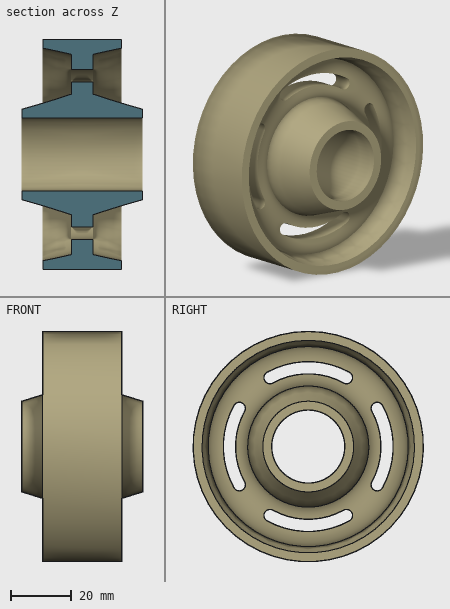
import cadquery as cq
import math

wheel_radius = 38.0
rim_width = 26.15
hub_length = 40.0
web_thickness = 7.2

rim_mouth_radius = 35.0
rim_root_radius = 33.0

hub_tip_radius = 15.0
hub_root_radius = 20.0
bore_radius = 12.0

slot_count = 4
slot_inner_radius = 24.0
slot_outer_radius = 28.0
slot_half_angle = 29.0

half_rim = rim_width / 2
half_hub = hub_length / 2
half_web = web_thickness / 2


def wheel_body():
    """Revolve the half section; its points are (axial position, radius)."""
    section = [
        (-half_hub, bore_radius),
        (-half_hub, hub_tip_radius),
        (-half_web, hub_root_radius),
        (-half_web, rim_root_radius),
        (-half_rim, rim_mouth_radius),
        (-half_rim, wheel_radius),
        (half_rim, wheel_radius),
        (half_rim, rim_mouth_radius),
        (half_web, rim_root_radius),
        (half_web, hub_root_radius),
        (half_hub, hub_tip_radius),
        (half_hub, bore_radius),
    ]
    return cq.Workplane("XZ").polyline(section).close().revolve(360, (0, 0), (1, 0))


def polar_point(radius, degrees):
    """Point in the web plane, with the angle measured from +Y towards +Z."""
    angle = math.radians(degrees)
    return (radius * math.cos(angle), radius * math.sin(angle))


def slot_cutter():
    """Arc slot with rounded ends, centred on the +Y direction."""
    middle_radius = (slot_inner_radius + slot_outer_radius) / 2
    end_radius = (slot_outer_radius - slot_inner_radius) / 2
    end_tip_y = middle_radius * math.cos(math.radians(slot_half_angle))
    end_tip_y -= end_radius * math.sin(math.radians(slot_half_angle))
    end_tip_z = middle_radius * math.sin(math.radians(slot_half_angle))
    end_tip_z += end_radius * math.cos(math.radians(slot_half_angle))
    return (
        cq.Workplane("YZ")
        .moveTo(*polar_point(slot_outer_radius, -slot_half_angle))
        .threePointArc((slot_outer_radius, 0), polar_point(slot_outer_radius, slot_half_angle))
        .threePointArc((end_tip_y, end_tip_z), polar_point(slot_inner_radius, slot_half_angle))
        .threePointArc((slot_inner_radius, 0), polar_point(slot_inner_radius, -slot_half_angle))
        .threePointArc((end_tip_y, -end_tip_z), polar_point(slot_outer_radius, -slot_half_angle))
        .close()
        .extrude(half_rim, both=True)
    )


result = wheel_body()
for slot in range(slot_count):
    turn = slot * 360 / slot_count
    result = result.cut(slot_cutter().rotate((0, 0, 0), (1, 0, 0), turn))